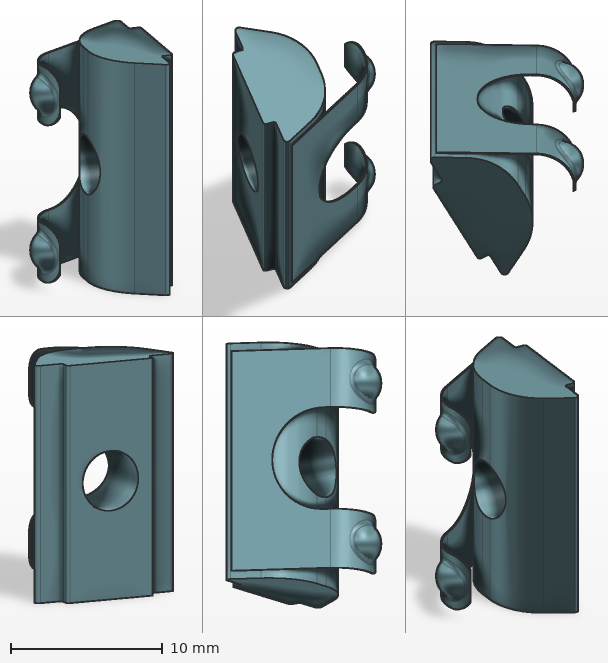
import cadquery as cq
import math

length = 16.0
body_depth = 5.0
tongue_width = 6.3
tongue_height = 0.8
tongue_outer_round = 0.2
tongue_inner_round = 0.16
shoulder_round = 0.27
front_flat_width = 0.96
front_radius = 4.0
flank_angle = math.radians(60)
hole_diameter = 4.03

leaf_thickness = 0.1
leaf_height = 14.91
leaf_start_depth = 1.3
leaf_front_depth = 8.38
curl_radius = 2.56
curl_end_angle = math.radians(-47)
leg_width = 4.0
leg_corner_radius = 1.2
notch_center_depth = 6.64

dome_radius = 1.5
dome_x = 0.72
dome_tip_depth = 9.05
dome_base_fillet = 0.48

flank_x = front_flat_width / 2 + front_radius * math.sin(flank_angle)
flank_y = -body_depth + front_radius * (1 - math.cos(flank_angle))

curl_outer_radius = curl_radius + leaf_thickness
curl_y = curl_outer_radius - leaf_front_depth
leg_z = (leaf_height - leg_width) / 2
clearance = 2 * length


def flank_at(y):
    """Point of the left flank line at the given Y."""
    return (-flank_x + (flank_y - y) / math.tan(flank_angle), y)


def polar(center, radius, angle):
    """Point at a distance and direction from a center in the XY plane."""
    return (center[0] + radius * math.cos(angle), center[1] + radius * math.sin(angle))


outward_angle = 3 * math.pi / 2 - flank_angle
curl_touch = flank_at(curl_y + curl_radius * math.sin(outward_angle))
curl_center = polar(curl_touch, -curl_radius, outward_angle)


def make_body():
    """Solid nut with a tongue at the back, a rounded front and a cross hole."""
    half_tongue = tongue_width / 2
    half_flat = front_flat_width / 2
    shoulder_x = -flank_at(-tongue_height)[0]
    arc_mid = polar((half_flat, front_radius - body_depth), front_radius, flank_angle / 2 - math.pi / 2)
    body = (
        cq.Workplane("XY")
        .workplane(offset=-length / 2)
        .moveTo(-half_tongue, 0)
        .lineTo(half_tongue, 0)
        .lineTo(half_tongue, -tongue_height)
        .lineTo(shoulder_x, -tongue_height)
        .lineTo(flank_x, flank_y)
        .threePointArc(arc_mid, (half_flat, -body_depth))
        .lineTo(-half_flat, -body_depth)
        .threePointArc((-arc_mid[0], arc_mid[1]), (-flank_x, flank_y))
        .lineTo(-shoulder_x, -tongue_height)
        .lineTo(-half_tongue, -tongue_height)
        .close()
        .extrude(length)
    )
    corner_rounds = (
        (half_tongue, 0, tongue_outer_round),
        (half_tongue, -tongue_height, tongue_inner_round),
        (shoulder_x, -tongue_height, shoulder_round),
    )
    for x, y, radius in corner_rounds:
        for side in (-1, 1):
            edge = cq.selectors.NearestToPointSelector((side * x, y, 0))
            body = body.edges("|Z").edges(edge).fillet(radius)
    hole = cq.Workplane("XZ").circle(hole_diameter / 2).extrude(clearance, both=True)
    return body.cut(hole)


def make_strip():
    """Full-height strip: straight on the flank, then a tangent curl."""
    start = flank_at(-leaf_start_depth)
    sweep_mid_angle = (outward_angle + curl_end_angle + 2 * math.pi) / 2
    return (
        cq.Workplane("XY")
        .workplane(offset=-leaf_height / 2)
        .moveTo(*start)
        .lineTo(*curl_touch)
        .threePointArc(
            polar(curl_center, curl_radius, sweep_mid_angle),
            polar(curl_center, curl_radius, curl_end_angle),
        )
        .lineTo(*polar(curl_center, curl_outer_radius, curl_end_angle))
        .threePointArc(
            polar(curl_center, curl_outer_radius, sweep_mid_angle),
            polar(curl_touch, leaf_thickness, outward_angle),
        )
        .lineTo(*polar(start, leaf_thickness, outward_angle))
        .close()
        .extrude(leaf_height)
    )


def add_domes(strip):
    """Spherical bumps outside the curl, blended into it at their base."""
    curl_core = (
        cq.Workplane("XY")
        .center(*curl_center)
        .circle(curl_radius + leaf_thickness / 2)
        .extrude(clearance, both=True)
    )
    for z in (-leg_z, leg_z):
        center = (dome_x, dome_radius - dome_tip_depth, z)
        dome = cq.Workplane("XY").sphere(dome_radius).translate(center).cut(curl_core)
        strip = strip.union(dome)
        base = cq.selectors.BoxSelector(
            (dome_x - dome_radius, -dome_tip_depth, z - dome_radius),
            (dome_x + dome_radius, curl_y, z + dome_radius),
            boundingbox=True,
        )
        strip = strip.edges(base).edges("not %CIRCLE").fillet(dome_base_fillet)
    return strip


def cut_legs(strip):
    """Round-bottomed notch between the legs and rounded leg ends."""
    notch_radius = leaf_height / 2 - leg_width
    notch_x, notch_y = flank_at(-notch_center_depth)
    notch_plane = cq.Plane(
        origin=(notch_x, notch_y, 0),
        xDir=(math.cos(flank_angle), -math.sin(flank_angle), 0),
        normal=(math.cos(outward_angle), math.sin(outward_angle), 0),
    )
    notch = (
        cq.Workplane(notch_plane)
        .moveTo(0, notch_radius)
        .lineTo(clearance, notch_radius)
        .lineTo(clearance, -notch_radius)
        .lineTo(0, -notch_radius)
        .threePointArc((-notch_radius, 0), (0, notch_radius))
        .close()
        .extrude(clearance, both=True)
    )
    strip = strip.cut(notch)

    tip_x = polar(curl_center, curl_outer_radius, curl_end_angle)[0]
    round_x = tip_x - leg_corner_radius
    diagonal = leg_corner_radius * math.sqrt(0.5)
    for leg in (-leg_z, leg_z):
        for side in (-1, 1):
            edge_z = leg + side * leg_width / 2
            round_z = edge_z - side * leg_corner_radius
            waste = (
                cq.Workplane("XZ")
                .moveTo(round_x, edge_z)
                .threePointArc((round_x + diagonal, round_z + side * diagonal), (tip_x, round_z))
                .lineTo(tip_x + clearance, round_z)
                .lineTo(tip_x + clearance, edge_z + side * leg_corner_radius)
                .lineTo(round_x, edge_z + side * leg_corner_radius)
                .close()
                .extrude(clearance, both=True)
            )
            strip = strip.cut(waste)
    return strip


leaf = cut_legs(add_domes(make_strip()))
result = make_body().union(leaf)